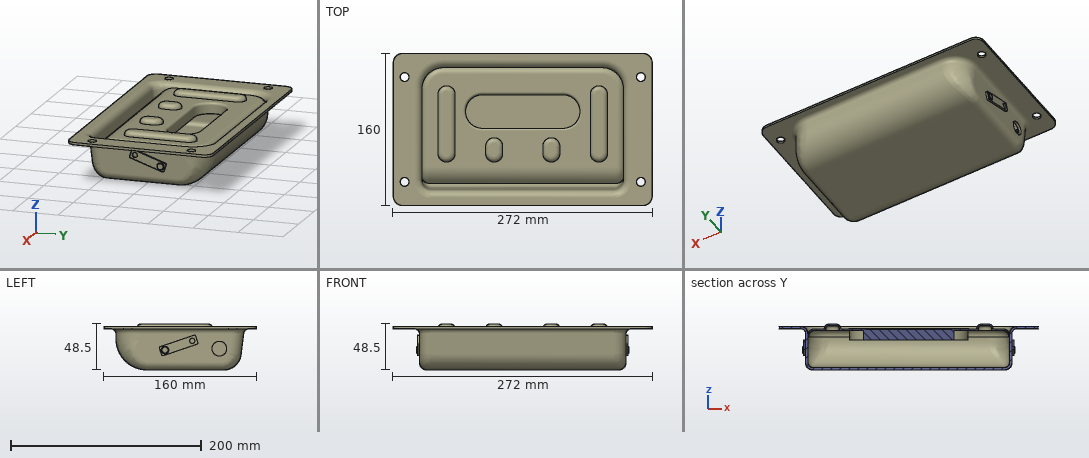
import cadquery as cq
import math

tolerance = 0.01

flange_length = 272
flange_width = 160
flange_corner_radius = 10
sheet = 2.75
screw_hole_diameter = 9
screw_hole_pitch_x = 248
screw_hole_pitch_y = 110

tray_half_length = 108.5
tray_half_width = 67.6
tray_depth = 46
front_draft = math.radians(7)
rear_bend_radius = 33
front_bend_radius = 18.5
end_bend_radius = 8
rear_corner_radius = 25
front_corner_radius = 12.5
rim_radius = 8

port_diameter = 15.5
port_y = -41
port_z = -23.5

cover_sheet = 2
cover_top = -2.5
cover_bottom = -11.2
cover_edge_overlap = 1.1
cover_half_length = tray_half_length - sheet + cover_edge_overlap
cover_rear = tray_half_width - sheet + cover_edge_overlap
cover_corner_radius = rear_corner_radius - sheet + cover_edge_overlap
cover_edge_radius = 8
cover_bend_start = -40
cover_bend_radius = 20

slot_length = 120
slot_width = 35.2
slot_rim_radius = 2.75
slot_y = 18.8
slot_depth = 12

bead_width = 18
bead_crest_width = 8
bead_top = 2.5
bead_end_y = -34.2
bead_run = (bead_width - bead_crest_width) / 2
bead_rise = bead_top - cover_top
bead_flank_radius = (bead_run**2 + bead_rise**2) / (2 * bead_rise)
long_bead_length = 80
long_bead_x = 80
short_bead_length = 25.5
short_bead_x = 30

lever_thickness = 2
lever_width = 10
lever_pitch = 30.2
lever_end_margin = 5
lever_corner_radius = 1.5
lever_tilt = 18.8
pivot_y = 16
pivot_z = -25
boss_diameter = 8
boss_height = 3
boss_chamfer = 0.75
link_hole_diameter = 5.5


def edges_in_rectangle(length, width, center, height):
    """Selector for edges lying at the given height within a rectangle."""
    x, y = center
    return cq.selectors.BoxSelector(
        (x - length / 2 - tolerance, y - width / 2 - tolerance, height - tolerance),
        (x + length / 2 + tolerance, y + width / 2 + tolerance, height + tolerance),
        boundingbox=True,
    )


def slab_above(height):
    """Block that covers the whole flange area from the given height upward."""
    slab = cq.Workplane("XY", origin=(0, 0, height))
    return slab.rect(flange_length, flange_width).extrude(tray_depth)


def tray_form(inset):
    """Solid of the tray's outer shape, with every wall moved inward by the inset."""
    half_length = tray_half_length - inset
    depth = tray_depth - inset
    rear = tray_half_width - inset
    front_top = -tray_half_width + inset / math.cos(front_draft)
    front_bottom = front_top + depth * math.tan(front_draft)
    block = (
        cq.Workplane("YZ", origin=(-half_length, 0, 0))
        .polyline([(rear, 0), (front_top, 0), (front_bottom, -depth), (rear, -depth)])
        .close()
        .extrude(2 * half_length)
    )
    block = block.edges("|X").edges("<Z").edges(">Y").fillet(rear_bend_radius - inset)
    block = block.edges("|X").edges("<Z").edges("<Y").fillet(front_bend_radius - inset)
    return round_tray_ends(block, inset)


def round_tray_ends(block, inset):
    """Round the outline of both end faces with a radius that eases between corners and floor."""
    rounding = cq.occ_impl.shapes.BRepFilletAPI_MakeFillet(block.val().wrapped)
    end_faces = [block.faces("<X").val(), block.faces(">X").val()]
    for contour, face in enumerate(end_faces, start=1):
        floor_edge = cq.Workplane(face).edges("<Z").val()
        floor = floor_edge.Center().z
        rounding.Add(end_bend_radius - inset, floor_edge.wrapped)
        for vertex in face.Vertices():
            if vertex.Z < floor + tolerance:
                radius = end_bend_radius
            elif vertex.Y > 0:
                radius = rear_corner_radius
            else:
                radius = front_corner_radius
            rounding.SetRadius(radius - inset, contour, vertex.wrapped)
    return cq.Workplane(cq.Shape.cast(rounding.Shape()).Solids()[0])


def make_pan():
    """Flanged tray with a rolled rim, four screw holes and a port in the -X end wall."""
    flange = (
        cq.Workplane("XY")
        .box(flange_length, flange_width, sheet, centered=(True, True, False))
        .translate((0, 0, -sheet))
        .edges("|Z")
        .fillet(flange_corner_radius)
    )
    screw_holes = (
        cq.Workplane("XY", origin=(0, 0, -sheet))
        .rect(screw_hole_pitch_x, screw_hole_pitch_y, forConstruction=True)
        .vertices()
        .circle(screw_hole_diameter / 2)
        .extrude(sheet)
    )
    pan = flange.union(tray_form(0))
    tray_length = 2 * tray_half_length
    tray_width = 2 * tray_half_width
    under_rim = edges_in_rectangle(tray_length, tray_width, (0, 0), -sheet)
    pan = pan.edges(under_rim).fillet(rim_radius - sheet)
    pan = pan.cut(tray_form(sheet))
    mouth = edges_in_rectangle(tray_length, tray_width, (0, 0), 0)
    pan = pan.edges(mouth).fillet(rim_radius)
    port = (
        cq.Workplane("YZ", origin=(-tray_half_length, port_y, port_z))
        .circle(port_diameter / 2)
        .extrude(sheet)
    )
    return pan.cut(screw_holes).cut(port)


def cover_form(inset):
    """Solid under the cover's top face, moved inward by the inset and cut level at the bottom."""
    half_length = cover_half_length - inset
    rear = cover_rear - inset
    top = cover_top - inset
    radius = cover_bend_radius - inset
    bend_middle = math.sqrt(0.5) * radius
    block = (
        cq.Workplane("YZ", origin=(-half_length, 0, 0))
        .moveTo(rear, top)
        .lineTo(cover_bend_start, top)
        .threePointArc(
            (cover_bend_start - bend_middle, top - radius + bend_middle),
            (cover_bend_start - radius, top - radius),
        )
        .lineTo(rear, top - radius)
        .close()
        .extrude(2 * half_length)
    )
    block = block.edges("|Z and >Y").fillet(cover_corner_radius - inset)
    block = block.faces(">Z").edges(">Y").fillet(cover_edge_radius - inset)
    return block.intersect(slab_above(cover_bottom))


def stadium(length, width, angle, center, bottom, top):
    """Upright prism with round ends, between two heights."""
    base = cq.Workplane("XY", origin=(*center, bottom))
    return base.slot2D(length, width, angle).extrude(top - bottom)


def bead_form(length, center, inset):
    """Oblong with a flat crest and rounded flanks; its lower part is buried in the cover."""
    radius = bead_flank_radius
    growth = 2 * (radius - bead_run - inset)
    top = bead_top - inset
    bottom = top - 2 * radius
    block = stadium(length + growth, bead_width + growth, 90, center, bottom, top)
    return block.faces(">Z").edges().fillet(radius - inset)


def make_cover():
    """Thin shell, trimmed to the tray's inside, with a flanged slot and hollow raised beads."""
    shell = cover_form(0).cut(cover_form(cover_sheet))
    cover = shell.intersect(tray_form(sheet))
    collar_length = slot_length + 2 * cover_sheet
    collar_width = slot_width + 2 * cover_sheet
    slot_center = (0, slot_y)
    slot_bottom = cover_top - slot_depth
    collar = stadium(collar_length, collar_width, 0, slot_center, slot_bottom, cover_top)
    slot = stadium(slot_length, slot_width, 0, slot_center, slot_bottom, cover_top)
    cover = cover.union(collar).cut(slot)
    slot_mouth = edges_in_rectangle(slot_length, slot_width, slot_center, cover_top)
    cover = cover.edges(slot_mouth).fillet(slot_rim_radius)
    above_cover = slab_above(cover_top - cover_sheet)
    for length, x in ((long_bead_length, long_bead_x), (short_bead_length, short_bead_x)):
        for side in (-1, 1):
            center = (side * x, bead_end_y + length / 2)
            cover = cover.union(bead_form(length, center, 0).intersect(above_cover))
            cover = cover.cut(bead_form(length, center, cover_sheet))
    return cover


def make_lever(side):
    """Lever on the end wall at the given side of the YZ plane (-1 or 1)."""
    pivot = (side * tray_half_length, pivot_y, pivot_z)
    wall_plane = cq.Plane(origin=pivot, xDir=(0, -1, 0), normal=(side, 0, 0))
    bar_length = lever_pitch + 2 * lever_end_margin
    plane = wall_plane.rotated((0, 0, -side * lever_tilt))
    bar = (
        cq.Workplane(plane)
        .center(lever_pitch / 2, 0)
        .rect(bar_length, lever_width)
        .extrude(lever_thickness)
        .edges("|X")
        .fillet(lever_corner_radius)
    )
    boss = (
        cq.Workplane(plane)
        .circle(boss_diameter / 2)
        .extrude(boss_height)
        .faces(">X" if side > 0 else "<X")
        .chamfer(boss_chamfer)
    )
    link_hole = (
        cq.Workplane(plane)
        .center(lever_pitch, 0)
        .circle(link_hole_diameter / 2)
        .extrude(lever_thickness)
    )
    return bar.union(boss).cut(link_hole)


pan = make_pan()
cover = make_cover()
levers = [make_lever(side) for side in (-1, 1)]
result = cq.Compound.makeCompound(
    [
        pan.solids().val(),
        cover.solids().val(),
        *[lever.solids().val() for lever in levers],
    ]
)